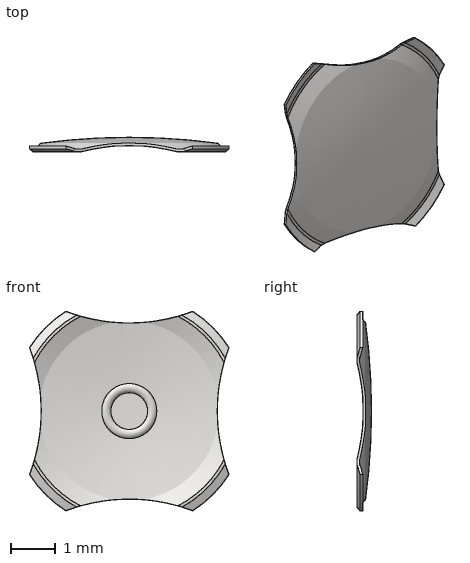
import cadquery as cq
import math

width = 4.47
depth = 0.33
thickness = 0.063

side_middle = 1.975
corner_offset = 1.42
corner_reach = width / 2
rim_radius = math.hypot(corner_reach, corner_offset)

dish_radius = 2.01
dish_edge_y = 0.13
ridge_inner_radius = 2.385
ridge_outer_radius = 2.455
rim_y = 0.07
dish_center_y = depth - thickness
dish_rise = dish_center_y - dish_edge_y
sphere_radius = (dish_radius**2 + dish_rise**2) / (2 * dish_rise)

ring_outer_radius = 0.615
ring_inner_radius = 0.41
ring_height = 0.055


def dish_y(radius):
    """Y position of the spherical front face at a distance from the axis."""
    return dish_center_y - sphere_radius + math.sqrt(sphere_radius**2 - radius**2)


def revolve_about_y(profile):
    return profile.close().revolve(360, (0, 0, 0), (0, 1, 0))


def make_sheet():
    """Spherical dish, conical skirt, narrow flat ridge and turned-back rim."""
    middle = dish_radius / 2
    profile = (
        cq.Workplane("XY")
        .moveTo(0, dish_center_y)
        .threePointArc((middle, dish_y(middle)), (dish_radius, dish_edge_y))
        .lineTo(ridge_inner_radius, 0)
        .lineTo(ridge_outer_radius, 0)
        .lineTo(rim_radius, rim_y)
        .lineTo(rim_radius, rim_y + thickness)
        .lineTo(ridge_outer_radius, thickness)
        .lineTo(ridge_inner_radius, thickness)
        .lineTo(dish_radius, dish_edge_y + thickness)
        .threePointArc((middle, dish_y(middle) + thickness), (0, depth))
    )
    return revolve_about_y(profile)


def turned(x, z, angle):
    """Point (x, z) turned about the axis by an angle in radians."""
    return (
        x * math.cos(angle) - z * math.sin(angle),
        x * math.sin(angle) + z * math.cos(angle),
    )


def make_outline():
    """Block with four hollow sides and four round corners, as deep as the part."""
    a = corner_reach
    b = corner_offset
    corner_middle = rim_radius / math.sqrt(2)
    outline = cq.Workplane("XZ").moveTo(a, -b)
    for quarter in range(4):
        angle = quarter * math.pi / 2
        outline = outline.threePointArc(turned(side_middle, 0, angle), turned(a, b, angle))
        outline = outline.threePointArc(
            turned(corner_middle, corner_middle, angle), turned(b, a, angle)
        )
    return outline.close().extrude(-depth)


def make_ring():
    """Rounded bead standing on the front face, rooted in the sheet."""
    middle = (ring_inner_radius + ring_outer_radius) / 2
    root_y = dish_y(ring_outer_radius) + thickness / 2
    profile = (
        cq.Workplane("XY")
        .moveTo(ring_inner_radius, root_y)
        .lineTo(ring_inner_radius, dish_y(ring_inner_radius))
        .threePointArc(
            (middle, dish_y(middle) - ring_height),
            (ring_outer_radius, dish_y(ring_outer_radius)),
        )
        .lineTo(ring_outer_radius, root_y)
    )
    return revolve_about_y(profile)


result = make_sheet().intersect(make_outline()).union(make_ring())